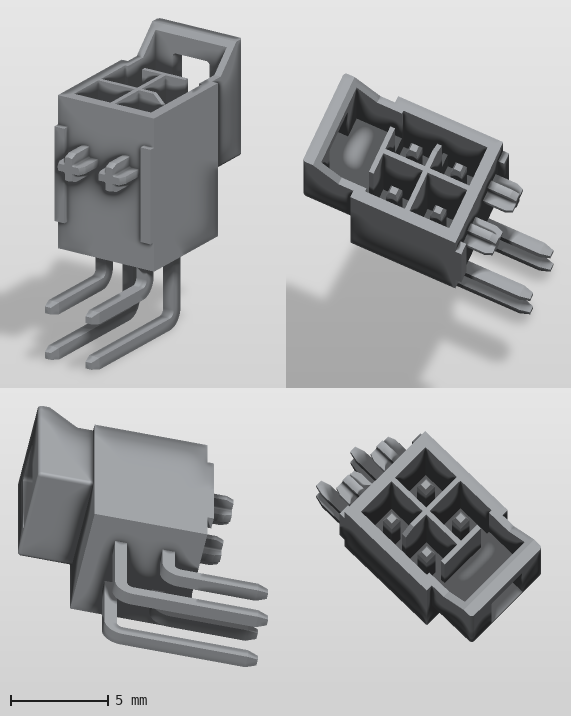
import cadquery as cq
import math


overall_height = 14.66
body_width = 5.94
body_depth = 5.94
body_height = 8.47
body_bottom = 4.74
body_top = body_bottom + body_height

pitch = 2.5
divider = 0.26
front_wall = 0.62
cell_size = pitch - divider
cavity_width = 2 * cell_size + divider
cell_floor = 6.45
column_x = [-pitch / 2, pitch / 2]
front_row_y = front_wall + cell_size / 2
back_row_y = front_row_y + pitch
cells_back = back_row_y + cell_size / 2
rear_divider_width = 2.67

notch_ramp_start = 1.04
notch_ramp = 0.6
notch_end = cavity_width / 2

hood_width = 5.19
hood_reach = 2.87
hood_bottom = 8.2
hood_lip = 0.59
hood_round = 0.19
hood_back = body_depth + hood_reach
hood_side_wall = 0.4
hood_back_wall = 0.88
pocket_width = hood_width - 2 * hood_side_wall
pocket_floor = hood_bottom + hood_side_wall
window_width = 2.29
window_top = 13.33
window_round = 0.22

lead_size = 0.65
lead_tip_size = 0.37
lead_tip_length = 0.55
lead_reach = 3.53
pin_recess = 1.76
pin_top = body_top - pin_recess
bend_inner = 0.34

peg_radius = 0.8
peg_tip_radius = 0.66
peg_length = 1.61
peg_tip_length = 0.38
peg_z = 10.0
blade_width = 0.44
arm_thickness = 0.4
peg_root_fillet = 0.09

rib_width = 0.62
rib_height = 5.23
rib_depth = 0.34


def block(x_range, y_range, z_range):
    """Box spanning the given (low, high) ranges."""
    (x0, x1), (y0, y1), (z0, z1) = x_range, y_range, z_range
    return cq.Workplane("XY").box(x1 - x0, y1 - y0, z1 - z0, centered=False).translate((x0, y0, z0))


def centred_block(x, width, y_range, z_range):
    """Box of the given width centred on x."""
    return block((x - width / 2, x + width / 2), y_range, z_range)


def hood_outside():
    """Latch hood solid: sloped side profile with rounded outer edges."""
    slope = overall_height - body_top
    hood = (
        cq.Workplane("YZ", origin=(-hood_width / 2, 0, 0))
        .moveTo(body_depth - front_wall, hood_bottom)
        .lineTo(hood_back, hood_bottom)
        .lineTo(hood_back, overall_height)
        .lineTo(hood_back - hood_lip, overall_height)
        .lineTo(hood_back - hood_lip - slope, body_top)
        .lineTo(body_depth - front_wall, body_top)
        .close()
        .extrude(hood_width)
    )
    return hood.edges("(>Y and |Z) or (<Z and |Y) or (<Z and >Y)").fillet(hood_round)


def latch_pocket():
    """Space inside the hood, opening forward into the cells."""
    return centred_block(
        0, pocket_width, (cells_back, hood_back - hood_back_wall), (pocket_floor, overall_height)
    )


def latch_window():
    """Opening through the hood's back wall, rounded at its upper corners."""
    window = centred_block(
        0, window_width, (hood_back - hood_back_wall, hood_back), (pocket_floor, window_top)
    )
    return window.edges("|Y and >Z").fillet(window_round)


def row_wall_notch():
    """Cut with a 45-degree ramp in the wall between the rows."""
    ramp_end = notch_ramp_start + notch_ramp
    return (
        cq.Workplane("XZ", origin=(0, front_wall + cell_size + divider, 0))
        .moveTo(notch_ramp_start, body_top)
        .lineTo(ramp_end, body_top - notch_ramp)
        .lineTo(ramp_end, pocket_floor)
        .lineTo(notch_end, pocket_floor)
        .lineTo(notch_end, body_top)
        .close()
        .extrude(divider)
    )


def rear_divider():
    """Short wall closing the back of the rear cells."""
    return centred_block(0, rear_divider_width, (cells_back, cells_back + divider), (hood_bottom, body_top))


def lead_tip(plane):
    """Square pyramid frustum standing on the given plane."""
    taper = math.degrees(math.atan((lead_size - lead_tip_size) / 2 / lead_tip_length))
    return cq.Workplane(plane).rect(lead_size, lead_size).extrude(lead_tip_length, taper=taper)


def lead(x, y, tail_z):
    """Bent square lead: upright at depth y, tail at height tail_z running to the front."""
    half = lead_size / 2
    bend_outer = bend_inner + lead_size
    bend_y = y - half - bend_inner
    bend_z = tail_z + half + bend_inner
    diagonal = math.sqrt(0.5)
    pin_shoulder = pin_top - lead_tip_length
    tail_shoulder = lead_tip_length - lead_reach
    bar = (
        cq.Workplane("YZ", origin=(x - half, 0, 0))
        .moveTo(y + half, pin_shoulder)
        .lineTo(y + half, bend_z)
        .threePointArc(
            (bend_y + bend_outer * diagonal, bend_z - bend_outer * diagonal),
            (bend_y, tail_z - half),
        )
        .lineTo(tail_shoulder, tail_z - half)
        .lineTo(tail_shoulder, tail_z + half)
        .lineTo(bend_y, tail_z + half)
        .threePointArc(
            (bend_y + bend_inner * diagonal, bend_z - bend_inner * diagonal),
            (y - half, bend_z),
        )
        .lineTo(y - half, pin_shoulder)
        .close()
        .extrude(lead_size)
    )
    pin_plane = cq.Plane(origin=(x, y, pin_shoulder), xDir=(1, 0, 0), normal=(0, 0, 1))
    tail_plane = cq.Plane(origin=(x, tail_shoulder, tail_z), xDir=(1, 0, 0), normal=(0, -1, 0))
    return bar.union(lead_tip(pin_plane)).union(lead_tip(tail_plane))


def peg(x):
    """Cross-section peg cut from a round bar with a conical tip."""
    y_range = (-peg_length, 0)
    blade = centred_block(0, blade_width, y_range, (-peg_radius, peg_radius))
    arm = centred_block(0, 2 * peg_radius, y_range, (-arm_thickness / 2, arm_thickness / 2))
    near_axis = cq.selectors.BoxSelector(
        (-blade_width, -peg_length, -arm_thickness), (blade_width, 0, arm_thickness)
    )
    cross = blade.union(arm).edges("|Y").edges(near_axis).fillet(peg_root_fillet)
    bar = (
        cq.Workplane("XY")
        .lineTo(peg_radius, 0)
        .lineTo(peg_radius, peg_tip_length - peg_length)
        .lineTo(peg_tip_radius, -peg_length)
        .lineTo(0, -peg_length)
        .close()
        .revolve(360, (0, 0, 0), (0, 1, 0))
    )
    return cross.intersect(bar).translate((x, 0, peg_z))


def standoff_rib(side):
    """Vertical rib along one front edge; side is -1 or 1."""
    x = side * (body_width - rib_width) / 2
    bottom = body_bottom + (body_height - rib_height) / 2
    return centred_block(x, rib_width, (-rib_depth, 0), (bottom, bottom + rib_height))


result = centred_block(0, body_width, (0, body_depth), (body_bottom, body_top))
result = result.union(hood_outside()).cut(latch_pocket()).cut(latch_window())
for cell_x in column_x:
    for cell_y in (front_row_y, back_row_y):
        y_span = (cell_y - cell_size / 2, cell_y + cell_size / 2)
        result = result.cut(centred_block(cell_x, cell_size, y_span, (cell_floor, body_top)))
result = result.cut(row_wall_notch()).union(rear_divider())

front_tail_z = lead_size / 2 + pitch
back_tail_z = lead_size / 2
for lead_x in column_x:
    result = result.union(lead(lead_x, front_row_y, front_tail_z))
    result = result.union(lead(lead_x, back_row_y, back_tail_z))
    result = result.union(peg(lead_x))
for rib_side in (-1, 1):
    result = result.union(standoff_rib(rib_side))